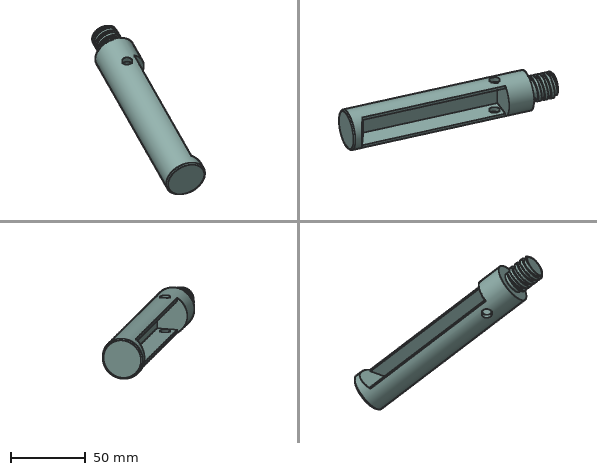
import cadquery as cq
import math

total_length = 150.0
body_diameter = 28.0
body_end_chamfer = 1.0

stud_length = 20.0
thread_length = 17.0
thread_diameter = 18.0
root_diameter = 15.0
tip_chamfer = (thread_diameter - root_diameter) / 2

thread_pitch = 4.7
groove_centre = 3.1
groove_width = thread_pitch / 2
groove_overcut = 0.5

relief_start = stud_length + 18.0
relief_floor_y = body_diameter / 4
end_land_length = 5.5
slope_angle = 65.0

slot_width = 20.0
slot_floor_y = -body_diameter / 4

hole_diameter = 7.0
hole_x = stud_length + 23.0


def cylinder(diameter, start, length):
    """Round bar along X."""
    return cq.Workplane("YZ").workplane(offset=start).circle(diameter / 2).extrude(length)


def make_body():
    """Plain round body, chamfered at its free end."""
    body = cylinder(body_diameter, stud_length, total_length - stud_length)
    return body.faces(">X").chamfer(body_end_chamfer)


def make_groove_turn():
    """One turn of the square-profile helical cutter, starting at X = 0 on the +Z side."""
    inner_radius = root_diameter / 2 - groove_overcut
    outer_radius = thread_diameter / 2 + groove_overcut
    helix = cq.Wire.makeHelix(thread_pitch, thread_pitch, inner_radius)
    profile = (
        cq.Workplane("XZ")
        .center((inner_radius + outer_radius) / 2, 0)
        .rect(outer_radius - inner_radius, groove_width)
    )
    groove = profile.sweep(cq.Workplane(obj=helix), isFrenet=True)
    groove = groove.rotate((0, 0, 0), (0, 1, 0), 90)
    return groove.rotate((0, 0, 0), (1, 0, 0), 180)


def make_stud():
    """Grooved thread sleeve around a plain core of root diameter."""
    thread = cylinder(thread_diameter, 0, thread_length).faces("<X").chamfer(tip_chamfer)
    core = cylinder(root_diameter, 0, stud_length)
    groove_turn = make_groove_turn()
    first_start = groove_centre - thread_pitch
    turn_count = math.ceil((thread_length + groove_width - first_start) / thread_pitch)
    for turn in range(turn_count):
        thread = thread.cut(groove_turn.translate((first_start + turn * thread_pitch, 0, 0)))
    return thread.union(core)


def cut_outline(floor_y):
    """Plan outline of a cut from +Y down to floor_y, square at one end and sloped at the other."""
    outer_y = body_diameter / 2
    slope_top = total_length - end_land_length
    slope_run = (outer_y - floor_y) / math.tan(math.radians(slope_angle))
    return cq.Workplane("XY").polyline([
        (relief_start, floor_y),
        (slope_top - slope_run, floor_y),
        (slope_top, outer_y),
        (relief_start, outer_y),
    ]).close()


def make_relief():
    """Flat cut across the full body height."""
    return cut_outline(relief_floor_y).extrude(body_diameter / 2, both=True)


def make_slot():
    """Narrower, deeper cut inside the relief."""
    return cut_outline(slot_floor_y).extrude(slot_width / 2, both=True)


def make_cross_hole():
    """Hole through the body along Z."""
    hole = cq.Workplane("XY").center(hole_x, 0).circle(hole_diameter / 2)
    return hole.extrude(body_diameter, both=True)


stud = make_stud()
body = make_body().cut(make_relief()).cut(make_slot()).cut(make_cross_hole())
result = body.union(stud)